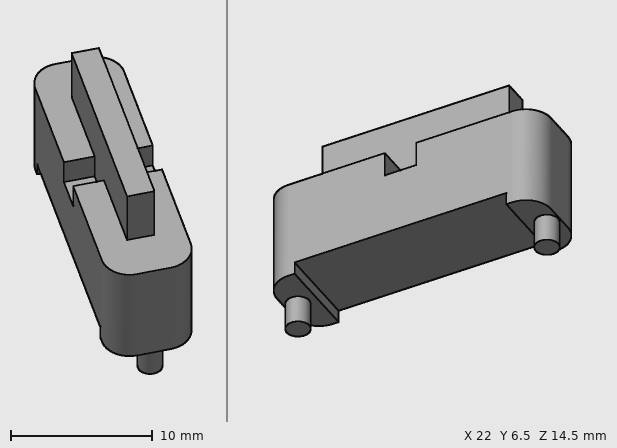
import cadquery as cq

body_length = 22
body_width = 6.5
body_height = 8.0
corner_radius = 2.0

blade_length = 15.0
blade_thickness = 2.0
blade_height = 4.3

notch_width = 2.5
notch_depth = 1.95
relief_length = 17.0
relief_height = 1.0

pin_diameter = 1.8
pin_length = 2.2
pin_spacing = 20.0


def block(length, width, height, base_z):
    """Box centred on the Z axis, with its lower face at base_z."""
    return cq.Workplane("XY").workplane(offset=base_z).rect(length, width).extrude(height)


body = block(body_length, body_width, body_height, 0).edges("|Z").fillet(corner_radius)

notch_floor = body_height - notch_depth
body = body.cut(block(notch_width, body_width, notch_depth, notch_floor))
body = body.cut(block(relief_length, body_width, relief_height, 0))

blade = block(blade_length, blade_thickness, notch_depth + blade_height, notch_floor)

pins = (
    cq.Workplane("XY")
    .pushPoints([(side * pin_spacing / 2, 0) for side in (-1, 1)])
    .circle(pin_diameter / 2)
    .extrude(-pin_length)
)

result = body.union(blade).union(pins)